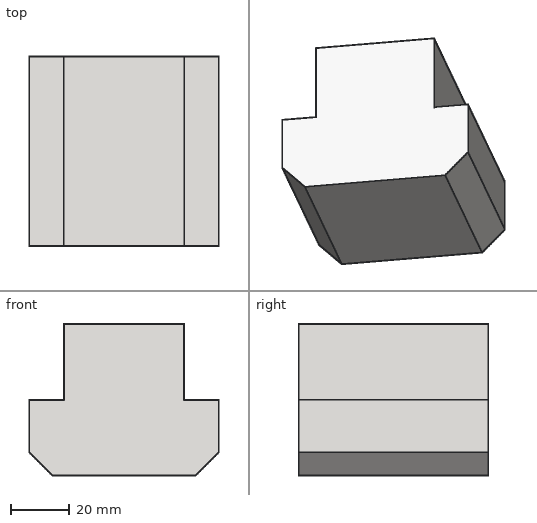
import cadquery as cq

width = 65.0
length = 65.0
height = 52.0

stem_width = 41.3
flange_height = 26.0
bottom_chamfer = 8.0

flange = (
    cq.Workplane("XY")
    .box(width, length, flange_height, centered=(True, True, False))
    .edges("|Y and <Z")
    .chamfer(bottom_chamfer)
)

stem = (
    cq.Workplane("XY")
    .workplane(offset=flange_height)
    .box(stem_width, length, height - flange_height, centered=(True, True, False))
)

result = flange.union(stem).clean()